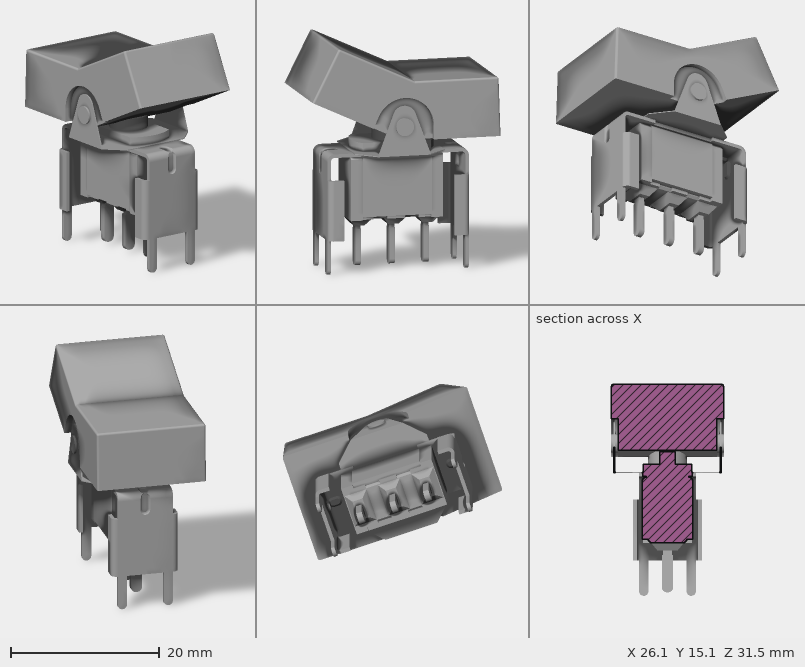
import math

import cadquery as cq

OVERLAP = 0.2

ROCKER_WIDTH = 15.11
PIVOT_Z = 3.99
ROCKER_TILT = 12.5
ARM_TOP = 6.19
ARM_BOTTOM = -1.87
ARM_REACH = 13.30
END_DRAFT = 2.0
ROCKER_ROUND = 0.3
RECESS_RADIUS = 4.0
RECESS_DEPTH = 0.9
PIVOT_PIN_DIAMETER = 2.45

EAR_SPAN = 14.52
EAR_THICKNESS = 0.2
EAR_TIP_DIAMETER = 3.2
EAR_TIP_Z = 5.24
EAR_BASE_WIDTH = 7.36
FRAME_LENGTH = 12.5
FRAME_THICKNESS = 0.12
FRAME_STRAIGHT_SIDE = 9.4

FLANGE_DIAMETER = 11.46
FLANGE_WIDTH = 6.54
FLANGE_TOP = 1.22
STEM_DIAMETER = 5.2
STEM_TOP = 2.9

BRACKET_LENGTH = 19.66
BRACKET_WIDTH = 7.64
SHEET = 0.5
BEND_RADIUS = 1.0
SIDE_BOTTOM = -11.78
WING_TOP = -3.54
WING_SPAN = 9.25
WING_LENGTH = 2.13
LEG_WIDTH = 1.27
LEG_BOTTOM = -16.5
LEG_TIP_RADIUS = 0.63
NOTCH_LENGTH = 9.06
NOTCH_WIDTH = 6.7

BEAD_WIDTH = 1.33
BEAD_DEPTH = 0.33
BEAD_DRAFT = 40.0
BEAD_BOTTOM = -3.25
BEAD_INNER_END = 2.45

CASE_LENGTH = 12.8
CASE_WIDTH = 6.6
CASE_BOTTOM = -9.37
CASE_CHAMFER = 0.5
PANEL_LENGTH = 9.56
PANEL_WIDTH = 6.85
PANEL_BOTTOM = -8.9
PANEL_ROUND = 0.64
FOOT_WIDTH = 5.6
MIDDLE_FOOT_LENGTH = 2.4
END_FOOT_LENGTH = 1.6
BASE_WIDTH = 5.2
BASE_CHAMFER = 0.3

TERMINAL_PITCH = 4.73
TERMINAL_THICKNESS = 0.78
TERMINAL_WIDTH = 1.54
TERMINAL_BOTTOM = -16.03
TERMINAL_TIP_RADIUS = 0.7
NECK_BOTTOM = -11.0
NECK_THICKNESS = 0.74
NECK_WIDTH = 1.2
SEAL_LENGTH = 3.1
SEAL_WIDTH = 4.4
SEAL_BOTTOM = -10.4
SEAL_TAPER = 0.83


def block(length, width, bottom, top, x=0.0, y=0.0):
    """Box centred at (x, y) between two heights."""
    height = top - bottom
    return cq.Workplane("XY").box(length, width, height).translate((x, y, (bottom + top) / 2))


def front_prism(outline, width):
    """Closed XZ outline extruded symmetrically along Y."""
    return outline.close().extrude(width / 2, both=True)


def across_tilted_axis(point):
    """Reflect a point, given relative to the pivot, across the rocker's symmetry axis."""
    axis_x = -math.sin(math.radians(ROCKER_TILT))
    axis_z = math.cos(math.radians(ROCKER_TILT))
    along = point[0] * axis_x + point[1] * axis_z
    return (2 * along * axis_x - point[0], 2 * along * axis_z - point[1])


def symmetric_outline(left_points):
    """XZ outline about the pivot: the left-hand points, then their reflections."""
    right_points = [across_tilted_axis(point) for point in reversed(left_points)]
    return cq.Workplane("XZ").polyline(left_points + right_points)


def make_rocker():
    lean = math.tan(math.radians(ROCKER_TILT))
    end_lean = (ARM_TOP - ARM_BOTTOM) * math.tan(math.radians(END_DRAFT))
    bottom_centre = (-ARM_BOTTOM * lean, ARM_BOTTOM)
    bottom_end = (-ARM_REACH, ARM_BOTTOM)
    top_end = (-ARM_REACH + end_lean, ARM_TOP)
    top_centre = (-ARM_TOP * lean, ARM_TOP)
    right_end = [across_tilted_axis(top_end), across_tilted_axis(bottom_end)]
    outline = [bottom_centre, bottom_end, top_end, top_centre] + right_end
    body = front_prism(cq.Workplane("XZ").polyline(outline), ROCKER_WIDTH)

    edge_spots = []
    for start, end in zip(outline[1:-1], outline[2:]):
        middle_x = (start[0] + end[0]) / 2
        middle_z = (start[1] + end[1]) / 2
        edge_spots += [(middle_x, side * ROCKER_WIDTH / 2, middle_z) for side in (-1, 1)]
    edge_spots += [(corner[0], 0, corner[1]) for corner in (top_end, right_end[0])]
    rounded = cq.Workplane("XY")
    for spot in edge_spots:
        rounded = rounded.add(body.edges(cq.selectors.NearestToPointSelector(spot)))
    body = body.newObject(rounded.vals()).fillet(ROCKER_ROUND)

    disc = cq.Workplane("XZ").circle(RECESS_RADIUS).extrude(ROCKER_WIDTH / 2, both=True)
    mouth_left = [(0, 0), (-RECESS_RADIUS, 0), (-RECESS_RADIUS, 2 * ARM_BOTTOM)]
    mouth_right = [across_tilted_axis(point) for point in reversed(mouth_left[1:])]
    mouth = front_prism(cq.Workplane("XZ").polyline(mouth_left + mouth_right), ROCKER_WIDTH)
    recess_floor_span = ROCKER_WIDTH - 2 * RECESS_DEPTH
    core = cq.Workplane("XY").box(2 * ARM_REACH, recess_floor_span, 2 * ARM_REACH)
    body = body.cut(disc.union(mouth).cut(core))

    pin = cq.Workplane("XZ").circle(PIVOT_PIN_DIAMETER / 2).extrude(ROCKER_WIDTH / 2, both=True)
    return body.union(pin).translate((0, 0, PIVOT_Z))


def make_ear(side):
    """Tapered ear whose straight sides are tangent to its rounded tip."""
    tip_radius = EAR_TIP_DIAMETER / 2
    half_base = EAR_BASE_WIDTH / 2
    base_distance = math.hypot(half_base, EAR_TIP_Z)
    angle = math.acos(tip_radius / base_distance) - math.atan2(EAR_TIP_Z, half_base)
    tangent_x = tip_radius * math.cos(angle)
    tangent_z = EAR_TIP_Z + tip_radius * math.sin(angle)
    ear = (
        cq.Workplane("XZ")
        .moveTo(-half_base, 0)
        .lineTo(half_base, 0)
        .lineTo(tangent_x, tangent_z)
        .threePointArc((0, EAR_TIP_Z + tip_radius), (-tangent_x, tangent_z))
    )
    middle_y = side * (EAR_SPAN - EAR_THICKNESS) / 2
    return front_prism(ear, EAR_THICKNESS).translate((0, middle_y, 0))


def make_ear_frame():
    corner_x = (FRAME_LENGTH - EAR_BASE_WIDTH) / 2
    corner_y = (EAR_SPAN - FRAME_STRAIGHT_SIDE) / 2
    half_length = FRAME_LENGTH / 2
    half_span = EAR_SPAN / 2
    outline = []
    for sx, sy in ((-1, -1), (1, -1), (1, 1), (-1, 1)):
        on_side = (sx * half_length, sy * (half_span - corner_y))
        on_front = (sx * (half_length - corner_x), sy * half_span)
        outline += [on_side, on_front] if sx == sy else [on_front, on_side]
    frame = cq.Workplane("XY").polyline(outline).close().extrude(FRAME_THICKNESS)
    return frame.union(make_ear(-1)).union(make_ear(1))


def make_bushing():
    disc = cq.Workplane("XY").circle(FLANGE_DIAMETER / 2).extrude(FLANGE_TOP)
    flange = disc.intersect(block(FLANGE_DIAMETER, FLANGE_WIDTH, 0, FLANGE_TOP))
    stem = cq.Workplane("XY").circle(STEM_DIAMETER / 2).extrude(STEM_TOP)
    return flange.union(stem)


def make_wing(side):
    """Flange bent inward from one long edge of the bracket's -X side."""
    bend = (WING_SPAN - BRACKET_WIDTH) / 2
    inner_bend = bend - SHEET
    outer_x = -BRACKET_LENGTH / 2
    centre_x = outer_x + bend
    edge_y = BRACKET_WIDTH / 2
    diagonal = math.sqrt(0.5)
    section = (
        cq.Workplane("XY", origin=(0, 0, SIDE_BOTTOM))
        .moveTo(outer_x, edge_y - OVERLAP)
        .lineTo(outer_x, edge_y)
        .threePointArc((centre_x - bend * diagonal, edge_y + bend * diagonal), (centre_x, edge_y + bend))
        .lineTo(outer_x + WING_LENGTH, edge_y + bend)
        .lineTo(outer_x + WING_LENGTH, edge_y + inner_bend)
        .lineTo(centre_x, edge_y + inner_bend)
        .threePointArc(
            (centre_x - inner_bend * diagonal, edge_y + inner_bend * diagonal),
            (outer_x + SHEET, edge_y),
        )
        .lineTo(outer_x + SHEET, edge_y - OVERLAP)
        .close()
    )
    wing = section.extrude(WING_TOP - SIDE_BOTTOM)
    return wing if side > 0 else wing.mirror("XZ")


def make_leg(side):
    middle_y = side * (BRACKET_WIDTH - LEG_WIDTH) / 2
    middle_x = -(BRACKET_LENGTH - SHEET) / 2
    leg = block(SHEET, LEG_WIDTH, LEG_BOTTOM, SIDE_BOTTOM + OVERLAP, middle_x, middle_y)
    return leg.edges("|X and <Z").fillet(LEG_TIP_RADIUS)


def make_bead(offset):
    """Tapered bead along the -X bend, starting at the given depth below the outer faces."""
    start_x = -BRACKET_LENGTH / 2 + offset
    inner_x = -BRACKET_LENGTH / 2 + BEAD_INNER_END
    upright = (
        cq.Workplane("YZ", origin=(start_x, 0, (BEAD_BOTTOM - offset) / 2))
        .slot2D(-BEAD_BOTTOM - offset, BEAD_WIDTH, 90)
        .extrude(BEAD_DEPTH, taper=BEAD_DRAFT)
    )
    flat = (
        cq.Workplane("XY", origin=((start_x + inner_x) / 2, 0, -offset))
        .slot2D(inner_x - start_x, BEAD_WIDTH)
        .extrude(-BEAD_DEPTH, taper=BEAD_DRAFT)
    )
    return upright.union(flat)


def make_bracket():
    strip = block(BRACKET_LENGTH, BRACKET_WIDTH, SIDE_BOTTOM, 0)
    strip = strip.edges("|Y and >Z").fillet(BEND_RADIUS)
    hollow = block(BRACKET_LENGTH - 2 * SHEET, BRACKET_WIDTH, SIDE_BOTTOM, -SHEET)
    hollow = hollow.edges("|Y and >Z").fillet(BEND_RADIUS - SHEET)
    strip = strip.cut(hollow)
    notch_depth = (BRACKET_WIDTH - NOTCH_WIDTH) / 2
    for side in (-1, 1):
        notch_y = side * (BRACKET_WIDTH - notch_depth) / 2
        strip = strip.cut(block(NOTCH_LENGTH, notch_depth, -SHEET, 0, y=notch_y))

    ridge = make_bead(SHEET)
    groove = make_bead(0)
    additions = ridge
    for side in (-1, 1):
        additions = additions.union(make_wing(side)).union(make_leg(side))
    strip = strip.union(additions).union(additions.mirror("YZ"))
    return strip.cut(groove).cut(groove.mirror("YZ"))


def make_case():
    top = -SHEET
    ends = block(CASE_LENGTH, CASE_WIDTH, CASE_BOTTOM, top)
    ends = ends.edges("|X and >Z").chamfer(CASE_CHAMFER)
    ends = ends.cut(block(PANEL_LENGTH, CASE_WIDTH, CASE_BOTTOM, PANEL_BOTTOM))
    panel = block(PANEL_LENGTH, PANEL_WIDTH, PANEL_BOTTOM, top)
    panel = panel.edges("|X and >Z").fillet(PANEL_ROUND)

    base = block(PANEL_LENGTH, BASE_WIDTH, CASE_BOTTOM, PANEL_BOTTOM)
    base = base.edges("|X and <Z").chamfer(BASE_CHAMFER)
    base = base.union(block(MIDDLE_FOOT_LENGTH, FOOT_WIDTH, CASE_BOTTOM, PANEL_BOTTOM))
    end_foot_x = (PANEL_LENGTH - END_FOOT_LENGTH) / 2
    for side in (-1, 1):
        foot = block(END_FOOT_LENGTH, FOOT_WIDTH, CASE_BOTTOM, PANEL_BOTTOM, side * end_foot_x)
        base = base.union(foot)
    return ends.union(panel).union(base)


def make_terminal(x):
    seal = (
        cq.Workplane("XY", origin=(x, 0, CASE_BOTTOM))
        .rect(SEAL_LENGTH, SEAL_WIDTH)
        .workplane(offset=SEAL_BOTTOM - CASE_BOTTOM)
        .rect(SEAL_LENGTH - 2 * SEAL_TAPER, SEAL_WIDTH - 2 * SEAL_TAPER)
        .loft()
    )
    neck = block(NECK_THICKNESS, NECK_WIDTH, NECK_BOTTOM, SEAL_BOTTOM + OVERLAP, x)
    blade = block(TERMINAL_THICKNESS, TERMINAL_WIDTH, TERMINAL_BOTTOM, NECK_BOTTOM, x)
    blade = blade.edges("|X and <Z").fillet(TERMINAL_TIP_RADIUS)
    return seal.union(neck).union(blade)


result = make_case().union(make_bracket()).union(make_ear_frame()).union(make_bushing())
for terminal_x in (-TERMINAL_PITCH, 0, TERMINAL_PITCH):
    result = result.union(make_terminal(terminal_x))
result = result.union(make_rocker())